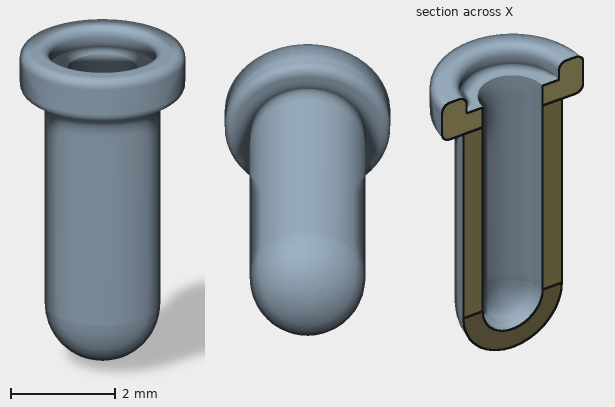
import cadquery as cq


overall_height = 6.41
collar_diameter = 3.175
collar_height = 0.89
collar_edge_radius = 0.185
pocket_diameter = 2.06
pocket_depth = 0.4
tube_diameter = 2.22
bore_diameter = 1.335

tube_radius = tube_diameter / 2
bore_radius = bore_diameter / 2
tube_length = overall_height - collar_height - tube_radius
tube_bottom = -tube_length


def make_collar():
    """Rounded ring with a round pocket in its top and the bore through its floor."""
    blank = (
        cq.Workplane("XY")
        .circle(collar_diameter / 2)
        .extrude(collar_height)
        .faces(">Z or <Z")
        .edges()
        .fillet(collar_edge_radius)
    )
    pocketed = blank.faces(">Z").workplane().hole(pocket_diameter, pocket_depth)
    rounded = pocketed.faces(">Z").edges(cq.selectors.RadiusNthSelector(0)).fillet(collar_edge_radius)
    bore = cq.Workplane("XY").circle(bore_radius).extrude(collar_height)
    return rounded.cut(bore)


def make_tube():
    """Straight tube hanging below the collar."""
    return (
        cq.Workplane("XY")
        .workplane(offset=tube_bottom)
        .circle(tube_radius)
        .circle(bore_radius)
        .extrude(tube_length)
    )


def make_dome():
    """Hemispherical shell closing the lower end of the tube."""
    ball = cq.Workplane("XY").sphere(tube_radius)
    cavity = cq.Workplane("XY").sphere(bore_radius)
    upper_half = cq.Workplane("XY").box(
        tube_diameter, tube_diameter, tube_diameter, centered=(True, True, False)
    )
    return ball.cut(cavity).cut(upper_half).translate((0, 0, tube_bottom))


collar = make_collar()
tube = make_tube()
dome = make_dome()

result = cq.Compound.makeCompound([collar.solids().val(), tube.val(), dome.solids().val()])